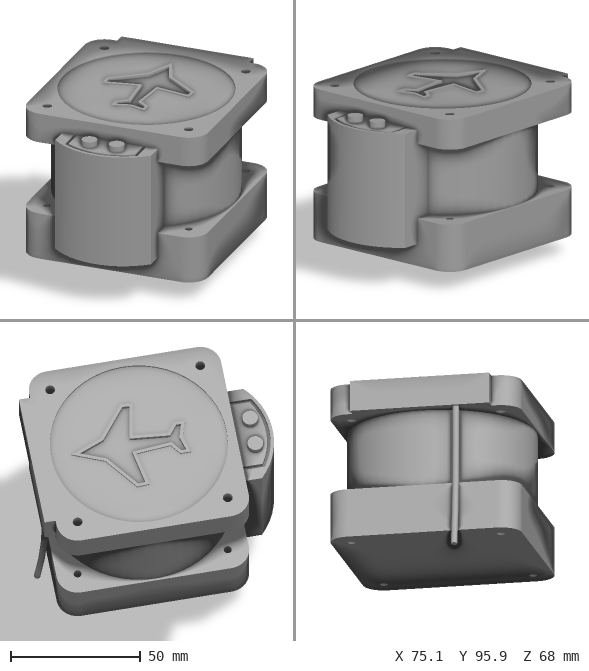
import cadquery as cq
import math

plate_size = 75.1
plate_corner_radius = 8.2
base_plate_height = 19.0
body_radius = 36.7
bezel_bottom = 49.0
bezel_thickness = 12.0
bezel_top = bezel_bottom + bezel_thickness

screw_spacing = 58.7
bezel_hole_diameter = 3.7
base_hole_diameter = 3.1

dial_diameter = 68.5
dial_depth = 0.7
dial_floor = bezel_top - dial_depth
aeroplane_rim_width = 1.2
aeroplane_rim_height = 0.6
aeroplane_pocket_depth = 0.8
pocket_floor = dial_floor - aeroplane_pocket_depth

aeroplane_half = [
    (0, 26.3),
    (5.1, 14.0),
    (18.3, 3.9),
    (17.9, -0.9),
    (4.0, 1.7),
    (2.8, -11.9),
    (6.9, -15.0),
    (6.9, -19.1),
    (0, -17.2),
]

housing_width = 39.7
housing_front = 52.4
housing_radius = 29.0
housing_bottom = 8.7
housing_top = 54.5
housing_arc_center = housing_radius - housing_front

groove_half_width = 15.1
groove_width = 1.3
groove_inset = 1.3
groove_depth = 1.4

button_diameter = 6.0
button_spacing = 11.3
button_center_y = -44.5
button_height = 2.6

rear_block_width = 54.7
rear_block_back = 41.9

cable_diameter = 2.5
cable_x = -13.7
cable_y = 39.2
cable_bend_start = 32.9
cable_end_y = 42.3
cable_end_z = -6.8


def rounded_plate(bottom, height):
    """Square plate with rounded vertical corners."""
    plate = cq.Workplane("XY").workplane(offset=bottom).rect(plate_size, plate_size).extrude(height)
    return plate.edges("|Z").fillet(plate_corner_radius)


def screw_holes(diameter, bottom, height):
    """Four drills at the plate corners."""
    drills = cq.Workplane("XY").workplane(offset=bottom)
    drills = drills.rect(screw_spacing, screw_spacing, forConstruction=True).vertices()
    return drills.circle(diameter / 2).extrude(height)


def arc_fronted_block(half_width, radius, bottom, top):
    """Block from the body axis forwards, ending in an arc about the housing arc centre."""
    shoulder_y = housing_arc_center - math.sqrt(radius**2 - half_width**2)
    outline = (
        cq.Workplane("XY")
        .workplane(offset=bottom)
        .moveTo(-half_width, 0)
        .lineTo(-half_width, shoulder_y)
        .threePointArc((0, housing_arc_center - radius), (half_width, shoulder_y))
        .lineTo(half_width, 0)
        .close()
    )
    return outline.extrude(top - bottom)


def panel_groove():
    """Groove along both sides and the curved front of the button panel, outside the body plates."""
    floor = housing_top - groove_depth
    outer_radius = housing_radius - groove_inset
    outer = arc_fronted_block(groove_half_width, outer_radius, floor, housing_top)
    inner = arc_fronted_block(groove_half_width - groove_width, outer_radius - groove_width, floor, housing_top)
    body_side = cq.Workplane("XY").workplane(offset=floor).rect(plate_size, plate_size).extrude(groove_depth)
    return outer.cut(inner).cut(body_side)


def inset_corners(corners, inset):
    """Corners of a clockwise outline moved inwards so that every side shifts by the inset."""
    moved = []
    for index, corner in enumerate(corners):
        before = cq.Vector(*corners[index - 1])
        here = cq.Vector(*corner)
        after = cq.Vector(*corners[(index + 1) % len(corners)])
        side_in = (here - before).normalized()
        side_out = (after - here).normalized()
        normal_in = cq.Vector(side_in.y, -side_in.x)
        normal_out = cq.Vector(side_out.y, -side_out.x)
        miter = (normal_in + normal_out) * (inset / (1 + normal_in.dot(normal_out)))
        moved.append((here + miter).toTuple()[:2])
    return moved


def aeroplane(inset, bottom, height):
    """Solid aeroplane silhouette, with every side moved inwards by the inset."""
    left_half = [(-x, y) for x, y in reversed(aeroplane_half[1:-1])]
    corners = inset_corners(aeroplane_half + left_half, inset)
    return cq.Workplane("XY").workplane(offset=bottom).polyline(corners).close().extrude(height)


def cable():
    """Round cable, straight at first and then bending gently backwards."""
    drop = cable_bend_start - cable_end_z
    sweep_out = cable_end_y - cable_y
    bend_radius = (drop**2 + sweep_out**2) / (2 * sweep_out)
    half_angle = math.atan2(sweep_out, drop)
    middle_y = cable_y + bend_radius * (1 - math.cos(half_angle))
    middle_z = cable_bend_start - bend_radius * math.sin(half_angle)
    path = (
        cq.Workplane("YZ", origin=(cable_x, 0, 0))
        .moveTo(cable_y, bezel_bottom)
        .lineTo(cable_y, cable_bend_start)
        .threePointArc((middle_y, middle_z), (cable_end_y, cable_end_z))
    )
    section = cq.Workplane("XY", origin=(cable_x, cable_y, bezel_bottom)).circle(cable_diameter / 2)
    return section.sweep(path)


base_plate = rounded_plate(0, base_plate_height)
base_plate = base_plate.cut(screw_holes(base_hole_diameter, 0, base_plate_height))
bezel = rounded_plate(bezel_bottom, bezel_thickness)
bezel = bezel.cut(screw_holes(bezel_hole_diameter, bezel_bottom, bezel_thickness))
body = cq.Workplane("XY").circle(body_radius).extrude(pocket_floor)
result = base_plate.union(body).union(bezel)

rear_block = cq.Workplane("XY").box(
    rear_block_width, rear_block_back, bezel_thickness, centered=(True, False, False)
)
result = result.union(rear_block.translate((0, 0, bezel_bottom))).union(cable())

result = result.union(arc_fronted_block(housing_width / 2, housing_radius, housing_bottom, housing_top))
result = result.cut(panel_groove())
buttons = cq.Workplane("XY").workplane(offset=housing_top)
buttons = buttons.pushPoints([(-button_spacing / 2, button_center_y), (button_spacing / 2, button_center_y)])
result = result.union(buttons.circle(button_diameter / 2).extrude(button_height))

dial = cq.Workplane("XY").workplane(offset=dial_floor).circle(dial_diameter / 2).extrude(dial_depth)
result = result.cut(dial)
result = result.union(aeroplane(0, dial_floor, aeroplane_rim_height))
result = result.cut(
    aeroplane(aeroplane_rim_width, pocket_floor, aeroplane_pocket_depth + aeroplane_rim_height)
)